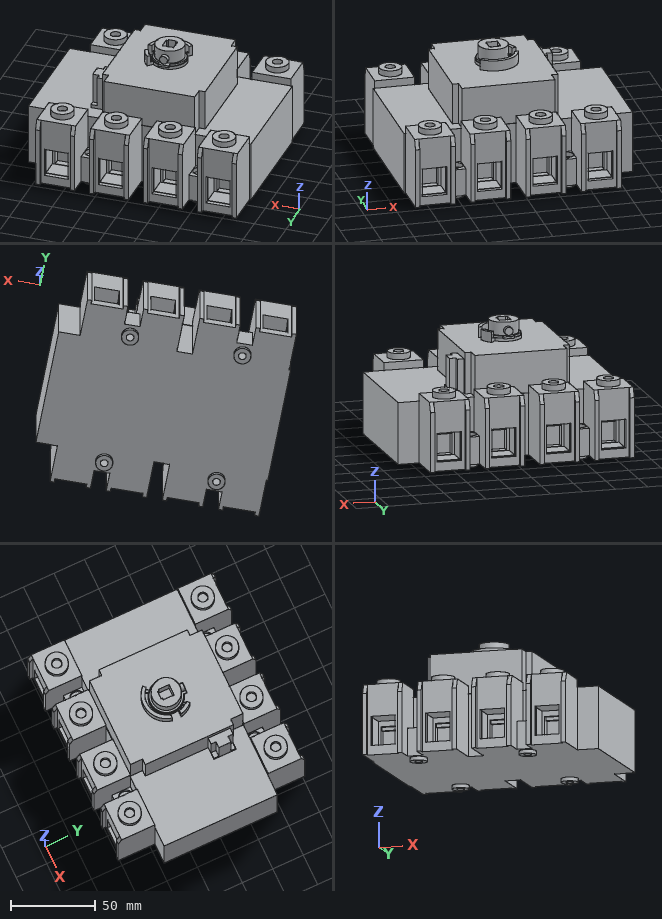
import cadquery as cq
import math


body_length = 140.0
body_width = 74.3
body_height = 38.1
body_left = -64.0

pole_count = 4
pole_pitch = 33.9
block_width = 24.5
block_height = 42.8
overall_width = 122.4
rib_width = 2.7
rib_depth = 2.2
rib_bevel_height = 5.9

mouth_width = 15.0
mouth_bottom = 5.7
mouth_top = 23.4
mouth_lip = 3.2
chamber_clearance = 0.3
chamber_depth = 15.4
cavity_width = 12.2
cavity_top = 20.0
cavity_depth = 17.5
channel_top = 17.9
channel_depth = 19.6

screw_diameter = 13.9
screw_height = 3.8
screw_y = 47.9
socket_diameter = 6.0
socket_depth = 3.1

lug_reach = 12.2
lug_height = 17.0
lug_hole_y = 42.3
lug_hole_diameter = 4.5
lug_counterbore_diameter = 9.0
lug_counterbore_depth = 2.8
foot_diameter = 10.2
foot_height = 2.2

housing_length = 64.5
housing_width = 73.8
housing_top = 63.4
corner_notch_x = 3.8
corner_notch_y = 8.0

tab_length = 8.0
tab_front = 12.3
tab_rear = 26.7
tab_top = 59.1
tab_notch_length = 3.9
tab_notch_width = 3.2
tab_notch_bottom = 40.2

collar_diameter = 30.0
collar_top = 69.9
collar_start = -135
collar_end = 45
collar_slot_width = 5.7
ledge_diameter = 25.3
ledge_top = 65.5
groove_arcs = [(-127, -22), (22, 38)]

hub_diameter = 21.5
hub_top = 65.4
disc_diameter = 20.6
disc_top = 66.6
lobe_width = 6.7
lobe_reach = 12.0
shaft_diameter = 18.0
shaft_top = 74.8
pin_diameter = 5.0
pin_reach = 11.6
pin_z = 69.7
square_size = 7.0
square_depth = 8.4
keyway_width = 4.8
keyway_depth = 1.0

body_edge = body_width / 2
outer_edge = overall_width / 2
pole_positions = [(i - (pole_count - 1) / 2) * pole_pitch for i in range(pole_count)]
lug_positions = [-pole_pitch, pole_pitch]


def box(x_min, x_max, y_min, y_max, z_min, z_max):
    """Box given by its limits along each axis."""
    size = (x_max - x_min, y_max - y_min, z_max - z_min)
    return cq.Workplane("XY").box(*size, centered=False).translate((x_min, y_min, z_min))


def centred_box(width, y_min, y_max, z_min, z_max):
    """Box centred on x = 0."""
    return box(-width / 2, width / 2, y_min, y_max, z_min, z_max)


def cylinder(diameter, z_min, z_max, y=0.0):
    """Upright cylinder standing on x = 0."""
    return cq.Workplane("XY", origin=(0, y, z_min)).circle(diameter / 2).extrude(z_max - z_min)


def arc_sector(inner_diameter, outer_diameter, start, end, z_min, z_max):
    """Part of a ring around the Z axis between two angles in degrees."""
    inner = inner_diameter / 2
    outer = outer_diameter / 2

    def point(radius, angle):
        a = math.radians(angle)
        return (radius * math.cos(a), radius * math.sin(a))

    middle = (start + end) / 2
    return (
        cq.Workplane("XY", origin=(0, 0, z_min))
        .moveTo(*point(inner, start))
        .lineTo(*point(outer, start))
        .threePointArc(point(outer, middle), point(outer, end))
        .lineTo(*point(inner, end))
        .threePointArc(point(inner, middle), point(inner, start))
        .close()
        .extrude(z_max - z_min)
    )


def conductor_opening(face):
    """Void behind the lipped mouth in a block face, narrowing in steps towards the body."""
    opening = centred_box(mouth_width, face - chamber_depth, face, mouth_bottom, mouth_top)
    chamber = centred_box(
        mouth_width + 2 * chamber_clearance,
        face - chamber_depth,
        face - mouth_lip,
        mouth_bottom - chamber_clearance,
        mouth_top,
    )
    cavity = centred_box(cavity_width, face - cavity_depth, face, mouth_bottom, cavity_top)
    channel = centred_box(cavity_width, face - channel_depth, face, mouth_bottom, channel_top)
    return opening.union(chamber).union(cavity).union(channel)


def terminal_block():
    """Rear terminal block, centred on x = 0, with its screw and conductor opening."""
    face = outer_edge - rib_depth
    block = (
        cq.Workplane("YZ", origin=(-block_width / 2, 0, 0))
        .moveTo(body_edge, 0)
        .lineTo(outer_edge, 0)
        .lineTo(outer_edge, block_height - rib_bevel_height)
        .lineTo(face, block_height)
        .lineTo(body_edge, block_height)
        .close()
        .extrude(block_width)
    )
    block = block.cut(centred_box(block_width - 2 * rib_width, face, outer_edge, 0, block_height))
    block = block.cut(conductor_opening(face))
    screw_top = block_height + screw_height
    block = block.union(cylinder(screw_diameter, block_height, screw_top, screw_y))
    return block.cut(cylinder(socket_diameter, screw_top - socket_depth, screw_top, screw_y))


def mounting_lug():
    """Rear mounting lug, centred on x = 0, filling the gap between two blocks."""
    lug = centred_box(pole_pitch - block_width, body_edge, body_edge + lug_reach, 0, lug_height)
    return lug.union(cylinder(foot_diameter, -foot_height, 0, lug_hole_y))


def lug_hole():
    """Counterbored hole through the rear mounting lug."""
    hole = cylinder(lug_hole_diameter, -foot_height, lug_height, lug_hole_y)
    seat = lug_height - lug_counterbore_depth
    return hole.union(cylinder(lug_counterbore_diameter, seat, lug_height, lug_hole_y))


def on_both_sides(shape, positions):
    """Copies of a rear-side shape at each x position, on the rear and front sides."""
    front_shape = shape.mirror("XZ")
    copies = []
    for x in positions:
        copies.append(shape.translate((x, 0, 0)))
        copies.append(front_shape.translate((x, 0, 0)))
    return copies


def housing():
    """Raised housing with notched vertical corners and a side tab."""
    half_length = housing_length / 2
    half_width = housing_width / 2
    inner_y = half_width - corner_notch_y
    shell = centred_box(housing_length, -inner_y, inner_y, body_height, housing_top)
    core_length = housing_length - 2 * corner_notch_x
    shell = shell.union(centred_box(core_length, -half_width, half_width, body_height, housing_top))

    tab_end = half_length + tab_length
    tab = box(half_length, tab_end, tab_front, tab_rear, body_height, tab_top)
    for y in (tab_front, tab_rear - tab_notch_width):
        notch = box(tab_end - tab_notch_length, tab_end, y, y + tab_notch_width, tab_notch_bottom, tab_top)
        tab = tab.cut(notch)
    return shell.union(tab)


def stop_collar():
    """Half-round collar with a low grooved inner ledge, slotted on the +X side."""
    collar = arc_sector(ledge_diameter, collar_diameter, collar_start, collar_end, housing_top, collar_top)
    collar = collar.union(
        arc_sector(hub_diameter, ledge_diameter, collar_start, collar_end, housing_top, ledge_top)
    )
    for start, end in groove_arcs:
        collar = collar.cut(arc_sector(hub_diameter, ledge_diameter, start, end, housing_top, ledge_top))
    half_slot = collar_slot_width / 2
    return collar.cut(box(0, collar_diameter, -half_slot, half_slot, housing_top, collar_top))


def shaft():
    """Actuator shaft with hub, lobed disc, index pin and keyed square socket."""
    spindle = cylinder(shaft_diameter, housing_top, shaft_top)
    spindle = spindle.union(cylinder(hub_diameter, housing_top, hub_top))
    spindle = spindle.union(cylinder(disc_diameter, hub_top, disc_top))
    spindle = spindle.union(centred_box(lobe_width, 0, lobe_reach, hub_top, disc_top))
    pin = cq.Workplane("XZ", origin=(0, 0, pin_z)).circle(pin_diameter / 2).extrude(-pin_reach)
    spindle = spindle.union(pin)

    half_square = square_size / 2
    socket_floor = shaft_top - square_depth
    socket = centred_box(square_size, -half_square, half_square, socket_floor, shaft_top)
    keyway = centred_box(keyway_width, -half_square - keyway_depth, 0, socket_floor, shaft_top)
    return spindle.cut(socket).cut(keyway)


result = box(body_left, body_left + body_length, -body_edge, body_edge, 0, body_height)
for part in on_both_sides(terminal_block(), pole_positions) + on_both_sides(mounting_lug(), lug_positions):
    result = result.union(part)
for hole in on_both_sides(lug_hole(), lug_positions):
    result = result.cut(hole)
result = result.union(housing()).union(stop_collar()).union(shaft())